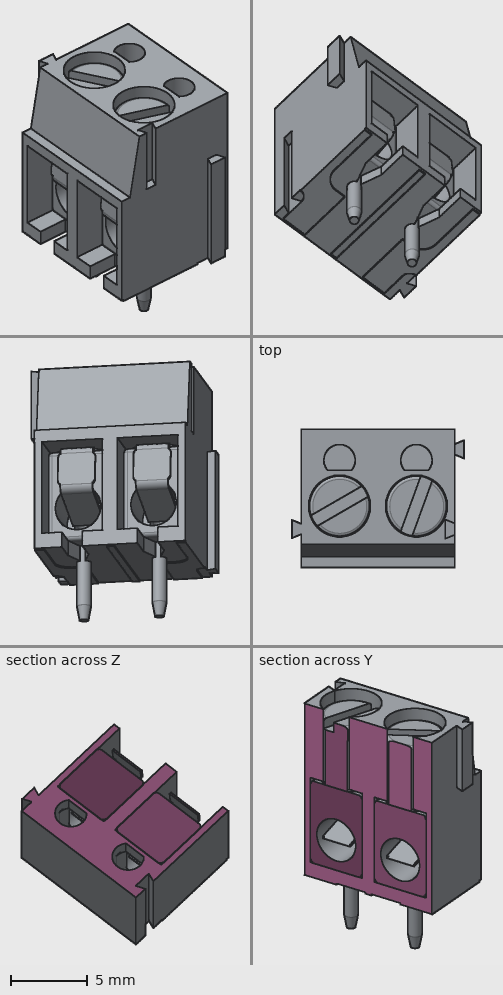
import cadquery as cq
import math


overall_width = 11.2
overall_height = 16.4
housing_width = 10.0
housing_depth = 9.0
housing_height = 12.5
half_width = housing_width / 2

pole_pitch = 5.0
pole_xs = [-pole_pitch / 2, pole_pitch / 2]
screw_slot_angles = [30, 70]
pole_y = 4.0

step_z = 7.97
step_y = 0.7
slope_top_y = 1.51

dovetail_depth = (overall_width - housing_width) / 2
dovetail_tip_width = 1.2
dovetail_root_width = 0.7
dovetail_clearance = 0.02
front_dovetail_y = 2.51
rear_dovetail_y = 7.69

block_width = 4.0
block_depth = block_width
block_height = 6.0
block_z = 1.0
block_edge_radius = 0.25
block_top_z = block_z + block_height
block_back_y = pole_y + block_depth / 2
wire_hole_diameter = 3.0
wire_hole_z = 3.18
pin_diameter = 0.95
pin_tip_diameter = 0.59
pin_taper_length = 0.95
pin_tip_z = housing_height - overall_height

screw_bore_diameter = 4.0
floor_slot_width = 1.36
floor_slot_throat = 0.35
floor_slot_taper_y = 2.1

probe_bore_diameter = 2.03
probe_bore_y = 6.99
probe_flat_y = 6.33
probe_floor_z = wire_hole_z - wire_hole_diameter / 2

screw_diameter = 3.9
screw_edge_radius = 0.2
screw_recess = 0.75
screw_slot_width = 0.8
screw_slot_depth = 0.7

guard_thickness = 0.16
guard_top_z = block_top_z + guard_thickness
guard_width = 2.13
guard_tab_width = 2.46
guard_tab_corner_radius = 0.3
guard_tab_top_z = 6.75
guard_tab_bottom_z = 4.6
guard_tab_y = 1.53
guard_tilt = 5
guard_tongue_slope = 15
guard_tongue_length = 4.13
guard_bottom_radius = 0.51

pad_height = 0.1
pad_inset = 0.15
pad_rail_width = dovetail_depth + dovetail_clearance
pad_rail_end_y = 6.46
pad_rear_y = 4.92
pad_front_radius = 1.12
pad_rear_radius = 0.55
pad_rib_width = 0.5


def box_between(x_range, y_range, z_range):
    """Axis-aligned box from its limits along X, Y and Z."""
    (x0, x1), (y0, y1), (z0, z1) = x_range, y_range, z_range
    return cq.Workplane("XY").box(x1 - x0, y1 - y0, z1 - z0, centered=False).translate((x0, y0, z0))


def upright_cylinder(x, y, diameter, z_range):
    """Vertical cylinder between two heights."""
    bottom, top = z_range
    return cq.Workplane("XY", origin=(x, y, bottom)).circle(diameter / 2).extrude(top - bottom)


def dovetail(face_x, y, z_range, growth=0.0):
    """Vertical dovetail bar whose root lies on the plane X = face_x and which widens toward -X."""
    root = dovetail_root_width / 2 + growth
    tip = dovetail_tip_width / 2 + growth
    tip_x = face_x - dovetail_depth - growth
    outline = [(face_x, y - root), (tip_x, y - tip), (tip_x, y + tip), (face_x, y + root)]
    bottom, top = z_range
    return cq.Workplane("XY", origin=(0, 0, bottom)).polyline(outline).close().extrude(top - bottom)


def housing_shell():
    """Solid housing with its sloped upper front."""
    outline = [
        (0, 0),
        (housing_depth, 0),
        (housing_depth, housing_height),
        (slope_top_y, housing_height),
        (step_y, step_z),
        (0, step_z),
    ]
    return cq.Workplane("YZ", origin=(-half_width, 0, 0)).polyline(outline).close().extrude(housing_width)


def add_dovetails(body):
    """Bars on one diagonal of the sides and the grooves that receive a neighbour's bars."""
    upper = (step_z, housing_height)
    lower = (0, step_z)
    left_bar = dovetail(-half_width, front_dovetail_y, upper)
    right_bar = dovetail(-half_width, rear_dovetail_y, lower).mirror("YZ")
    right_groove = dovetail(half_width, front_dovetail_y, upper, dovetail_clearance)
    left_groove = dovetail(half_width, rear_dovetail_y, lower, dovetail_clearance).mirror("YZ")
    return body.union(left_bar).union(right_bar).cut(right_groove).cut(left_groove)


def standoff_pads():
    """Left, right and middle pads that lift the underside off the board."""
    front_y = pad_inset
    rear_y = housing_depth - pad_inset
    rail_x = -half_width + pad_rail_width
    inner_x = -pole_pitch / 2
    outline = [
        (-half_width, front_y),
        (rail_x, front_y),
        (rail_x, pad_rear_y),
        (inner_x, pad_rear_y),
        (inner_x, rear_y),
        (rail_x, rear_y),
        (rail_x, pad_rail_end_y),
        (-half_width, pad_rail_end_y),
    ]
    left_pad = cq.Workplane("XY").polyline(outline).close().extrude(-pad_height)
    for corner_y, radius in [(pad_rear_y, pad_front_radius), (pad_rail_end_y, pad_rear_radius)]:
        corner = cq.NearestToPointSelector((rail_x, corner_y, -pad_height / 2))
        left_pad = left_pad.edges("|Z").edges(corner).fillet(radius)
    middle_rib = box_between(
        (-pad_rib_width / 2, pad_rib_width / 2), (front_y, rear_y), (-pad_height, 0)
    )
    return [left_pad, left_pad.mirror("YZ"), middle_rib]


def pole_cavity(x):
    """Room for one terminal, screw and pin, with the wire entry and the slot in its floor."""
    half_block = block_width / 2
    chamber = box_between((x - half_block, x + half_block), (0, block_back_y), (block_z, guard_top_z))
    screw_bore = upright_cylinder(x, pole_y, screw_bore_diameter, (block_top_z, housing_height))
    pin_hole = upright_cylinder(x, pole_y, pin_diameter, (0, block_z))
    mouth = floor_slot_width / 2
    throat = floor_slot_throat / 2
    throat_y = pole_y - pin_diameter / 2
    slot_outline = [
        (x - mouth, 0),
        (x - mouth, floor_slot_taper_y),
        (x - throat, throat_y),
        (x - throat, pole_y),
        (x + throat, pole_y),
        (x + throat, throat_y),
        (x + mouth, floor_slot_taper_y),
        (x + mouth, 0),
    ]
    floor_slot = cq.Workplane("XY").polyline(slot_outline).close().extrude(block_z)
    return chamber.union(screw_bore).union(pin_hole).union(floor_slot)


def probe_bore(x):
    """D-shaped bore behind a screw, with a passage at its foot into the pole cavity."""
    radius = probe_bore_diameter / 2
    bore = upright_cylinder(x, probe_bore_y, probe_bore_diameter, (probe_floor_z, housing_height))
    x_range = (x - radius, x + radius)
    bore = bore.intersect(
        box_between(x_range, (probe_flat_y, probe_bore_y + radius), (probe_floor_z, housing_height))
    )
    passage_top_z = wire_hole_z + wire_hole_diameter / 2
    passage = box_between(x_range, (block_back_y, probe_bore_y), (probe_floor_z, passage_top_z))
    return bore.union(passage)


def make_housing():
    body = add_dovetails(housing_shell())
    for pad in standoff_pads():
        body = body.union(pad)
    for x in pole_xs:
        body = body.cut(pole_cavity(x)).cut(probe_bore(x))
    return body


def make_terminal(x):
    """Clamping block with rounded edges, a wire hole through it and a solder pin below."""
    block = (
        cq.Workplane("XY", origin=(x, pole_y, block_z))
        .box(block_width, block_depth, block_height, centered=(True, True, False))
        .edges()
        .fillet(block_edge_radius)
    )
    wire_hole = (
        cq.Workplane("XZ", origin=(x, block_back_y, wire_hole_z))
        .circle(wire_hole_diameter / 2)
        .extrude(block_depth)
    )
    taper_z = pin_tip_z + pin_taper_length
    pin_outline = [
        (0, pin_tip_z),
        (pin_tip_diameter / 2, pin_tip_z),
        (pin_diameter / 2, taper_z),
        (pin_diameter / 2, block_z),
        (0, block_z),
    ]
    pin = (
        cq.Workplane("XZ", origin=(x, pole_y, 0))
        .polyline(pin_outline)
        .close()
        .revolve(360, (0, 0, 0), (0, 1, 0))
    )
    return block.cut(wire_hole).union(pin)


def make_screw(x, slot_angle):
    """Screw with a rounded rim, standing on the terminal, its slot turned by slot_angle from X."""
    top_z = housing_height - screw_recess
    screw = (
        upright_cylinder(x, pole_y, screw_diameter, (block_top_z, top_z))
        .faces(">Z")
        .edges()
        .fillet(screw_edge_radius)
    )
    slot = (
        cq.Workplane("XY", origin=(x, pole_y, top_z))
        .transformed(rotate=(0, 0, slot_angle))
        .rect(screw_diameter, screw_slot_width)
        .extrude(-screw_slot_depth)
    )
    return screw.cut(slot)


def guard_point(center, radius, elevation):
    """Point (Y, Z) on a bend, at an elevation in degrees above the -Y direction."""
    angle = math.radians(elevation)
    return (center[0] - radius * math.cos(angle), center[1] + radius * math.sin(angle))


def make_guard(x):
    """Bent strip hooked over the block, with a wide leaning tab and a tongue inside the wire hole."""
    tilt = math.radians(guard_tilt)
    top_radius = (guard_top_z - guard_tab_top_z) / (1 - math.sin(tilt))
    tab_height = guard_tab_top_z - guard_tab_bottom_z
    tab_bottom_y = guard_tab_y - tab_height * math.tan(tilt)
    top_center = (guard_tab_y + top_radius * math.cos(tilt), guard_top_z - top_radius)
    bottom_center = (
        tab_bottom_y + guard_bottom_radius * math.cos(tilt),
        guard_tab_bottom_z - guard_bottom_radius * math.sin(tilt),
    )
    top_inner = top_radius - guard_thickness
    bottom_inner = guard_bottom_radius - guard_thickness
    top_middle = (90 + guard_tilt) / 2
    tongue_elevation = guard_tongue_slope - 90
    bottom_middle = (guard_tilt + tongue_elevation) / 2
    slope = math.radians(guard_tongue_slope)
    tongue = (guard_tongue_length * math.cos(slope), -guard_tongue_length * math.sin(slope))
    outer_bend_end = guard_point(bottom_center, guard_bottom_radius, tongue_elevation)
    inner_bend_end = guard_point(bottom_center, bottom_inner, tongue_elevation)

    strip = (
        cq.Workplane("YZ", origin=(x - guard_width / 2, 0, 0))
        .moveTo(*guard_point(top_center, top_radius, 90))
        .threePointArc(
            guard_point(top_center, top_radius, top_middle),
            guard_point(top_center, top_radius, guard_tilt),
        )
        .lineTo(tab_bottom_y, guard_tab_bottom_z)
        .threePointArc(guard_point(bottom_center, guard_bottom_radius, bottom_middle), outer_bend_end)
        .lineTo(outer_bend_end[0] + tongue[0], outer_bend_end[1] + tongue[1])
        .lineTo(inner_bend_end[0] + tongue[0], inner_bend_end[1] + tongue[1])
        .lineTo(*inner_bend_end)
        .threePointArc(
            guard_point(bottom_center, bottom_inner, bottom_middle),
            guard_point(bottom_center, bottom_inner, guard_tilt),
        )
        .lineTo(*guard_point(top_center, top_inner, guard_tilt))
        .threePointArc(
            guard_point(top_center, top_inner, top_middle),
            guard_point(top_center, top_inner, 90),
        )
        .close()
        .extrude(guard_width)
    )

    tab_shape = (
        cq.Sketch()
        .rect(guard_tab_width, tab_height / math.cos(tilt))
        .vertices()
        .fillet(guard_tab_corner_radius)
    )
    tab_middle = (x, (guard_tab_y + tab_bottom_y) / 2, (guard_tab_top_z + guard_tab_bottom_z) / 2)
    tab_plane = cq.Plane(tab_middle, (1, 0, 0), (0, -math.cos(tilt), math.sin(tilt)))
    tab = cq.Workplane(tab_plane).placeSketch(tab_shape).extrude(-guard_thickness)
    return strip.union(tab)


housing = make_housing()
terminals = [make_terminal(x) for x in pole_xs]
screws = [make_screw(x, angle) for x, angle in zip(pole_xs, screw_slot_angles)]
guards = [make_guard(x) for x in pole_xs]

result = cq.Compound.makeCompound([body.val() for body in [housing, *terminals, *screws, *guards]])